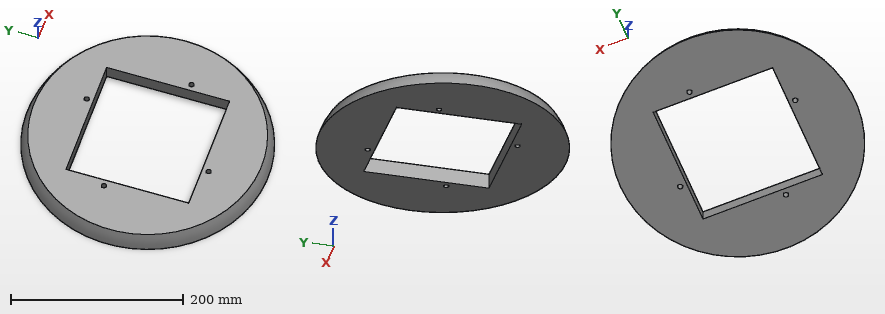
import cadquery as cq

base_diameter = 295.0
top_diameter = 278.5
thickness = 19.0
rim_bulge = 1.0

opening_side = 150.2

hole_diameter = 6.0
hole_from_center = 83.2
hole_side_shift = 26.0
hole_count = 4

base_radius = base_diameter / 2
top_radius = top_diameter / 2


def make_body():
    """Solid disc whose rim leans inward along a shallow convex arc."""
    rim_middle = ((base_radius + top_radius) / 2 + rim_bulge, thickness / 2)
    profile = (
        cq.Workplane("XZ")
        .lineTo(base_radius, 0)
        .threePointArc(rim_middle, (top_radius, thickness))
        .lineTo(0, thickness)
        .close()
    )
    return profile.revolve(360, (0, 0, 0), (0, 1, 0))


def make_opening():
    """Square prism through the full thickness."""
    return cq.Workplane("XY").rect(opening_side, opening_side).extrude(thickness)


def make_holes():
    """Through-hole cylinders, repeated by quarter turns about Z."""
    holes = cq.Workplane("XY")
    for index in range(hole_count):
        hole = (
            cq.Workplane("XY")
            .center(hole_side_shift, hole_from_center)
            .circle(hole_diameter / 2)
            .extrude(thickness)
            .rotate((0, 0, 0), (0, 0, 1), index * 360 / hole_count)
        )
        holes = holes.add(hole)
    return holes.combine()


result = make_body().cut(make_opening()).cut(make_holes())